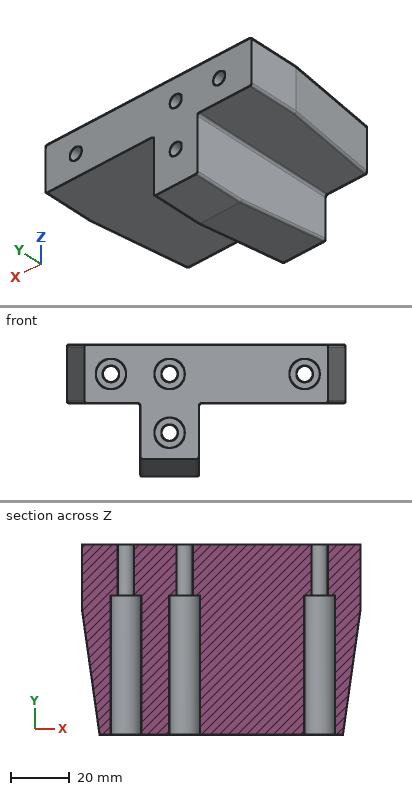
import cadquery as cq
import math

length = 95.0
depth = 65.0
height = 45.0
bar_height = 20.0
stem_width = 20.0
stem_left = 25.0
edge_radius = 0.95

taper_depth = 42.5
taper_angle = 8.0
taper_inset = taper_depth * math.tan(math.radians(taper_angle))

hole_diameter = 5.5
counterbore_diameter = 10.4
counterbore_depth = 47.5
left_hole_x = 15.0
right_hole_x = 81.0
stem_hole_x = stem_left + stem_width / 2
bar_hole_z = height - bar_height / 2
hole_drop = 20.0
stem_hole_z = bar_hole_z - hole_drop
hole_centers = [
    (left_hole_x, bar_hole_z),
    (stem_hole_x, bar_hole_z),
    (right_hole_x, bar_hole_z),
    (stem_hole_x, stem_hole_z),
]


def make_bar():
    """Bar whose two ends narrow toward the front."""
    return (
        cq.Workplane("XY", origin=(0, 0, height - bar_height))
        .polyline([
            (taper_inset, 0),
            (length - taper_inset, 0),
            (length, taper_depth),
            (length, depth),
            (0, depth),
            (0, taper_depth),
        ])
        .close()
        .extrude(bar_height)
    )


def make_stem():
    """Stem whose bottom rises toward the front, reaching up to the bar's top."""
    return (
        cq.Workplane("YZ", origin=(stem_left, 0, 0))
        .polyline([
            (0, taper_inset),
            (taper_depth, 0),
            (depth, 0),
            (depth, height),
            (0, height),
        ])
        .close()
        .extrude(stem_width)
    )


def round_long_edges(body):
    """Round all edges running front to back, the inner corners included."""
    return body.edges("not #Y").fillet(edge_radius)


def cut_holes(body):
    """Through holes with counterbores opening on the front face."""
    front = cq.Workplane("XZ").pushPoints(hole_centers)
    holes = front.circle(hole_diameter / 2).extrude(-depth)
    counterbores = front.circle(counterbore_diameter / 2).extrude(-counterbore_depth)
    return body.cut(holes).cut(counterbores)


result = cut_holes(round_long_edges(make_bar().union(make_stem())))